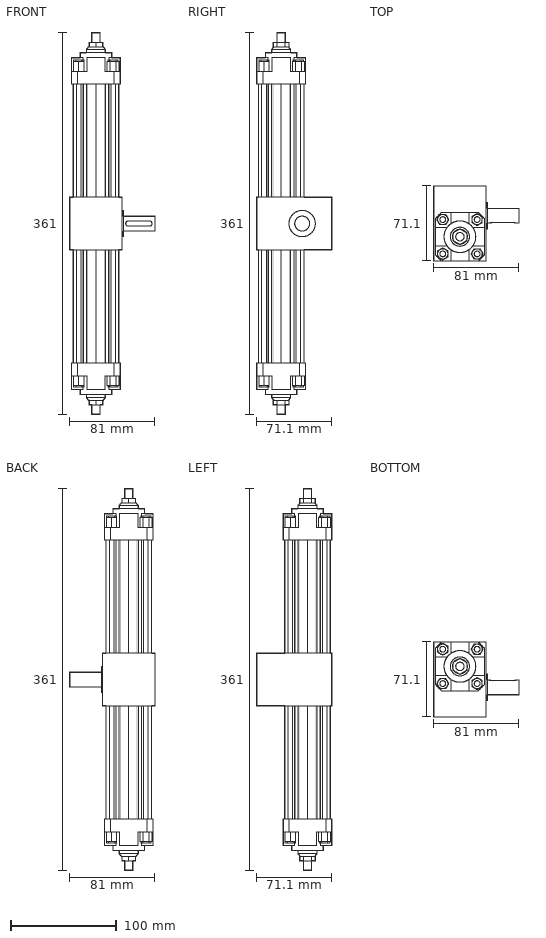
import cadquery as cq
import math


TOTAL_LENGTH = 361.0
ROD_END_Z = TOTAL_LENGTH / 2
NUT_TOP_Z = 171.5
NUT_BOTTOM_Z = 167.0
NECK_BOTTOM_Z = 164.5
STEP_BOTTOM_Z = 161.7
CAP_TOP_Z = 157.0
CAP_FLOOR_Z = 144.0
CAP_BOTTOM_Z = 131.8

BLOCK_WIDTH = 49.8
BLOCK_DEPTH = 71.0
BLOCK_HEIGHT = 49.8
BLOCK_FRONT_Y = -23.0
TOTAL_WIDTH = 81.0
SHAFT_TIP_X = TOTAL_WIDTH - BLOCK_WIDTH / 2
SHAFT_Y = 20.0
SHAFT_DIA = 14.0
SHAFT_RING_DIA = 25.0
SHAFT_RING_THICKNESS = 1.0
KEYWAY_WIDTH = 5.0
KEYWAY_LENGTH = 25.0
KEYWAY_DEPTH = 2.5
KEYWAY_END_GAP = 3.0

CAP_SIZE = 46.2
CAP_CHAMFER = 5.8
ARM_WIDTH = 17.5
COLLAR_DIA = 30.0

SCREW_OFFSET = 16.2
SCREW_HEX_FLATS = 9.7
SCREW_RIM_DIA = 9.7
SCREW_HOLE_DIA = 5.5
SCREW_HEX_TOP_Z = 153.0
SCREW_TOP_Z = 154.5
SCREW_HOLE_DEPTH = 3.5
SCREWS = [(-1, -1, 30), (1, -1, 0), (1, 1, 30), (-1, 1, 0)]

STEP_DIA = 18.0
NECK_DIA = 14.0
ROD_DIA = 8.0
NUT_FLATS = 13.0
NUT_TURN = 30

TUBE_HALF = 21.5
TUBE_CHAMFER = 3.2
HOLLOW_HALF_WIDTH = 14.0
STEP_HALF_WIDTH = 12.3
STEP_WIDTH = 0.5
STEP_HEIGHT = 1.0
FLOOR_HALF_WIDTH = 9.0
RIDGE_HALF_WIDTH = 8.0
RIDGE_SLOPE = 15.0


def cone(bottom_diameter, top_diameter, bottom, top):
    """Truncated cone on the Z axis between two heights."""
    lower_circle = cq.Workplane("XY").workplane(offset=bottom).circle(bottom_diameter / 2)
    return lower_circle.workplane(offset=top - bottom).circle(top_diameter / 2).loft(ruled=True)


def disc(diameter, bottom, top):
    """Cylinder on the Z axis between two heights."""
    return cq.Workplane("XY").workplane(offset=bottom).circle(diameter / 2).extrude(top - bottom)


def hexagon(flats, bottom, top, turn=0):
    """Hexagonal prism on the Z axis, with a corner on +X before it is turned."""
    corners = flats / math.cos(math.radians(30))
    prism = cq.Workplane("XY").workplane(offset=bottom).polygon(6, corners).extrude(top - bottom)
    return prism.rotate((0, 0, 0), (0, 0, 1), turn)


def tube():
    flat_end = TUBE_HALF - TUBE_CHAMFER
    step_foot = STEP_HALF_WIDTH - STEP_WIDTH
    step_y = TUBE_HALF - (HOLLOW_HALF_WIDTH - STEP_HALF_WIDTH)
    step_foot_y = step_y - STEP_HEIGHT
    floor_y = step_foot_y - (step_foot - FLOOR_HALF_WIDTH)
    ridge_y = floor_y + RIDGE_HALF_WIDTH * math.tan(math.radians(RIDGE_SLOPE))
    half_side = [
        (flat_end, TUBE_HALF),
        (HOLLOW_HALF_WIDTH, TUBE_HALF),
        (STEP_HALF_WIDTH, step_y),
        (step_foot, step_foot_y),
        (FLOOR_HALF_WIDTH, floor_y),
        (RIDGE_HALF_WIDTH, floor_y),
    ]
    side = half_side + [(0, ridge_y)] + [(-x, y) for x, y in reversed(half_side)]
    outline = []
    for _ in range(4):
        outline += side
        side = [(-y, x) for x, y in side]
    return cq.Workplane("XY").polyline(outline).close().extrude(CAP_BOTTOM_Z)


def end_cap():
    """Square cap whose corners are cut down, leaving four arms around a collar."""
    height = CAP_TOP_Z - CAP_BOTTOM_Z
    cap = cq.Workplane("XY").workplane(offset=CAP_BOTTOM_Z).rect(CAP_SIZE, CAP_SIZE).extrude(height)
    cap = cap.edges("|Z").chamfer(CAP_CHAMFER)
    pocket_spacing = ARM_WIDTH + CAP_SIZE
    pockets = (
        cq.Workplane("XY")
        .workplane(offset=CAP_FLOOR_Z)
        .rarray(pocket_spacing, pocket_spacing, 2, 2)
        .rect(CAP_SIZE, CAP_SIZE)
        .extrude(height)
    )
    collar = disc(COLLAR_DIA, CAP_BOTTOM_Z, STEP_BOTTOM_Z)
    return cap.cut(pockets).union(collar)


def screw(turn):
    head = hexagon(SCREW_HEX_FLATS, CAP_FLOOR_Z, SCREW_HEX_TOP_Z, turn)
    head = head.union(disc(SCREW_RIM_DIA, SCREW_HEX_TOP_Z, SCREW_TOP_Z))
    return head.cut(disc(SCREW_HOLE_DIA, SCREW_TOP_Z - SCREW_HOLE_DEPTH, SCREW_TOP_Z))


def rod_end():
    step = disc(STEP_DIA, STEP_BOTTOM_Z, NECK_BOTTOM_Z)
    neck = cone(STEP_DIA, NECK_DIA, NECK_BOTTOM_Z, NUT_BOTTOM_Z)
    nut = hexagon(NUT_FLATS, NUT_BOTTOM_Z, NUT_TOP_Z, NUT_TURN)
    rod = disc(ROD_DIA, NUT_TOP_Z, ROD_END_Z)
    return step.union(neck).union(nut).union(rod)


def cylinder_half():
    body = tube().union(end_cap()).union(rod_end())
    for x_side, y_side, turn in SCREWS:
        place = (x_side * SCREW_OFFSET, y_side * SCREW_OFFSET, 0)
        body = body.union(screw(turn).translate(place))
    return body


def gearbox():
    block_center_y = BLOCK_FRONT_Y + BLOCK_DEPTH / 2
    block = cq.Workplane("XY").box(BLOCK_WIDTH, BLOCK_DEPTH, BLOCK_HEIGHT)
    return block.translate((0, block_center_y, 0))


def output_shaft():
    face_x = BLOCK_WIDTH / 2
    base = cq.Workplane("YZ", origin=(face_x, SHAFT_Y, 0))
    ring = base.circle(SHAFT_RING_DIA / 2).extrude(SHAFT_RING_THICKNESS)
    shaft = base.circle(SHAFT_DIA / 2).extrude(SHAFT_TIP_X - face_x)
    keyway_x = SHAFT_TIP_X - KEYWAY_END_GAP - KEYWAY_LENGTH / 2
    keyway = (
        cq.Workplane("XZ", origin=(keyway_x, SHAFT_Y - SHAFT_DIA / 2, 0))
        .slot2D(KEYWAY_LENGTH, KEYWAY_WIDTH)
        .extrude(-KEYWAY_DEPTH)
    )
    return shaft.cut(keyway).union(ring)


upper = cylinder_half()
lower = upper.mirror("XY")
result = gearbox().union(output_shaft()).union(upper).union(lower)